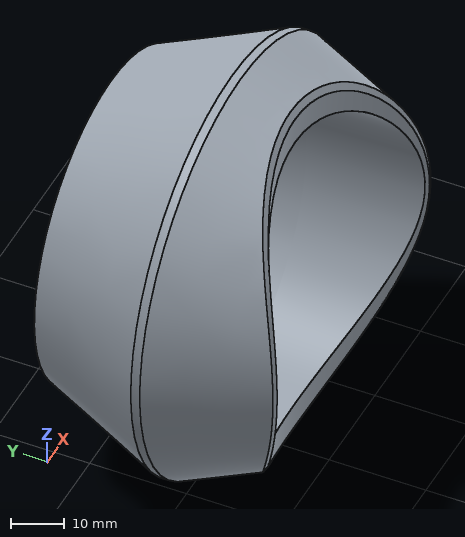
import cadquery as cq
import math


rim_radius = 44.05
mouth_radius = 33.5
rim_start = 24.9
rim_width = 1.85
flank_angle = 22.5

mouth_bore_radius = 30.1
saddle_bore_radius = 32.6

pipe_radius = 52.2
saddle_depth = 38.1
edge_chamfer = 1.1

body_length = 61.7
flank_slope = math.tan(math.radians(flank_angle))
rim_end = rim_start + rim_width
tip_radius = rim_radius - (body_length - rim_end) * flank_slope


def revolve_about_y(points):
    """Revolve a closed outline of (radius, Y) points around the Y axis."""
    outline = [(y, radius) for radius, y in points]
    return cq.Workplane("YZ").polyline(outline).close().revolve(360, (0, 0), (1, 0))


def make_blank():
    """Solid double cone with a narrow cylindrical rim."""
    return revolve_about_y([
        (0, 0),
        (mouth_radius, 0),
        (rim_radius, -rim_start),
        (rim_radius, -rim_end),
        (tip_radius, -body_length),
        (0, -body_length),
    ])


def make_run_pipe():
    """Cylinder along Z that shapes the saddle."""
    pipe_length = 3 * rim_radius
    pipe = cq.Workplane("XY").circle(pipe_radius).extrude(pipe_length / 2, both=True)
    return pipe.translate((0, -saddle_depth - pipe_radius, 0))


def make_bore():
    """Bore that widens from the mouth to the rim, then runs straight to the saddle."""
    return revolve_about_y([
        (0, 0),
        (mouth_bore_radius, 0),
        (saddle_bore_radius, -rim_start),
        (saddle_bore_radius, -body_length),
        (0, -body_length),
    ])


body = make_blank().cut(make_run_pipe())
saddle_face = body.faces(cq.selectors.NearestToPointSelector((0, -body_length, 0)))
body = saddle_face.edges().chamfer(edge_chamfer)
result = body.cut(make_bore())